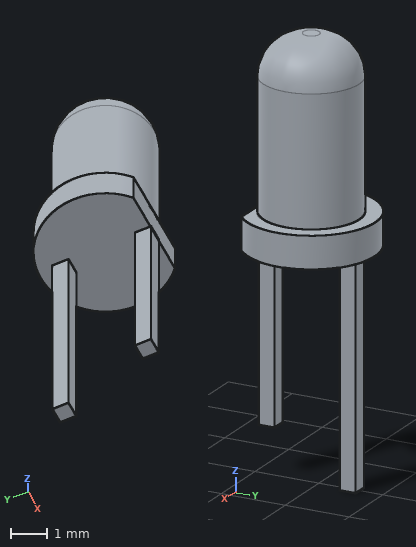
import cadquery as cq

lens_radius = 1.5
tip_flat_radius = 0.25
tip_rounding = lens_radius - tip_flat_radius
lens_straight_height = 4.0

flange_radius = 2.0
flange_height = 1.0
flange_flat_distance = lens_radius

lead_width = 0.5
lead_pitch = 2.54
anode_length = 7.0
cathode_length = 5.5


def make_flange():
    """Disc standing on Z = 0, cut flat on the -Y side."""
    disc = cq.Workplane("XY").circle(flange_radius).extrude(flange_height)
    keep_depth = flange_radius + flange_flat_distance
    keep_center_y = (flange_radius - flange_flat_distance) / 2
    keep_box = (
        cq.Workplane("XY")
        .center(0, keep_center_y)
        .rect(2 * flange_radius, keep_depth)
        .extrude(flange_height)
    )
    return disc.intersect(keep_box)


def make_lens():
    """Cylinder on top of the flange with its upper edge rounded."""
    return (
        cq.Workplane("XY")
        .workplane(offset=flange_height)
        .circle(lens_radius)
        .extrude(lens_straight_height + tip_rounding)
        .faces(">Z")
        .edges()
        .fillet(tip_rounding)
    )


def make_lead(center_y, length):
    """Square lead hanging down from the underside of the flange."""
    return cq.Workplane("XY").center(0, center_y).rect(lead_width, lead_width).extrude(-length)


anode = make_lead(lead_pitch / 2, anode_length)
cathode = make_lead(-lead_pitch / 2, cathode_length)

result = make_flange().union(make_lens()).union(anode).union(cathode)